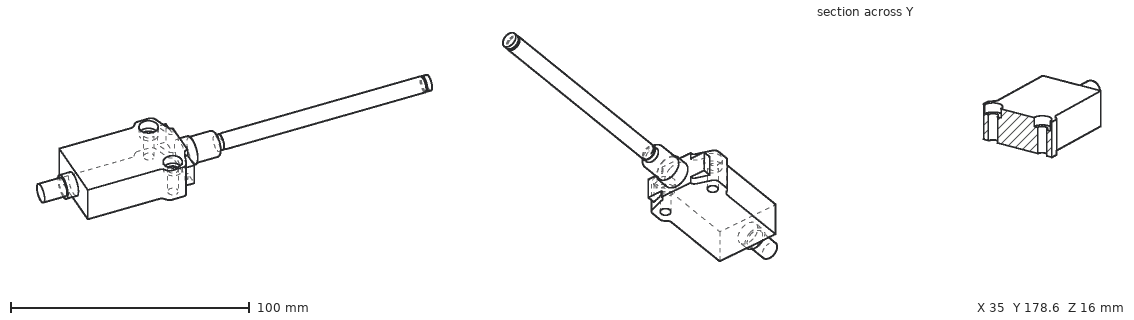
import cadquery as cq
import math


OVERALL_LENGTH = 178.6

HOUSING_WIDTH = 29.6
HOUSING_LENGTH = 49.0
HOUSING_HEIGHT = 16.0
TAB_HEIGHT = 9.8

EAR_SPAN = 35.0
EAR_ROUND = 2.1
EAR_BACK_SETBACK = 4.8
EAR_FRONT_SETBACK = 12.7
EAR_FRONT_TAPER = 2.3
NECK_HALF_WIDTH = 7.7
NECK_SETBACK = 1.5
NECK_ROUND = 1.8
MOUNT_X = 12.5
MOUNT_SETBACK = 9.0
MOUNT_HOLE_DIAMETER = 4.5
COUNTERBORE_DIAMETER = 8.0
COUNTERBORE_DEPTH = 4.1

COLLAR_RADIUS = 10.5 / 2
COLLAR_LENGTH = 4.8
COLLAR_WAIST = 0.09
PLUNGER_RADIUS = 4.1
PLUNGER_REACH = 15.0

GLAND_BASE_RADIUS = 6.3
GLAND_BASE_LENGTH = 5.5
GLAND_BASE_ROUND = 0.4
SLEEVE_RADIUS = 5.7
SLEEVE_LENGTH = 11.0
SLEEVE_ROUND = 1.3
CORE_RADIUS = 7.0 / 2
JACKET_RADIUS = 3.5
NECK_LENGTH = 2.1
GROOVE_DEPTH = 0.4
GLAND_GROOVE_WIDTH = 1.5
CAP_GROOVE_WIDTH = 0.5
CAP_LENGTH = 2.7
DOME_HEIGHT = 0.5


def make_housing():
    back = HOUSING_LENGTH
    half_width = HOUSING_WIDTH / 2
    half_span = EAR_SPAN / 2
    ear_back = back - EAR_BACK_SETBACK
    ear_front = back - EAR_FRONT_SETBACK
    ear_root = ear_front - EAR_FRONT_TAPER
    neck_corner = back - NECK_SETBACK

    right_side = [
        (half_width, 0),
        (half_width, ear_root),
        (half_span, ear_front),
        (half_span, ear_back),
        (NECK_HALF_WIDTH, neck_corner),
        (NECK_HALF_WIDTH, back),
    ]
    left_side = [(-x, y) for x, y in reversed(right_side)]
    body = (
        cq.Workplane("XY")
        .polyline(right_side + left_side)
        .close()
        .extrude(HOUSING_HEIGHT / 2, both=True)
    )

    ear_corners = [(half_width, ear_root), (half_span, ear_front), (half_span, ear_back)]
    body = round_corners(body, ear_corners, EAR_ROUND)
    body = round_corners(body, [(NECK_HALF_WIDTH, neck_corner)], NECK_ROUND)

    tab_length = back - ear_root
    tab = cq.Workplane("XY").box(HOUSING_WIDTH, tab_length, TAB_HEIGHT)
    body = body.union(tab.translate((0, back - tab_length / 2, 0)))

    mount_y = back - MOUNT_SETBACK
    return (
        body.faces(">Z")
        .workplane(origin=(0, 0, HOUSING_HEIGHT / 2))
        .pushPoints([(-MOUNT_X, mount_y), (MOUNT_X, mount_y)])
        .cboreHole(MOUNT_HOLE_DIAMETER, COUNTERBORE_DIAMETER, COUNTERBORE_DEPTH)
    )


def round_corners(body, corners, radius):
    """Fillet the upright edges at the given corners and at their mirror images in X."""
    reach = radius / 10
    for x, y in corners:
        for side in (-1, 1):
            low = (side * x - reach, y - reach, -HOUSING_HEIGHT)
            high = (side * x + reach, y + reach, HOUSING_HEIGHT)
            body = body.edges(cq.selectors.BoxSelector(low, high)).fillet(radius)
    return body


def spin(profile):
    """Revolve a half profile, drawn as (radius, y), about the Y axis."""
    return profile.close().revolve(360, (0, 0, 0), (0, 1, 0))


def make_plunger():
    return spin(
        cq.Workplane("XY")
        .lineTo(COLLAR_RADIUS, 0)
        .threePointArc(
            (COLLAR_RADIUS - COLLAR_WAIST, -COLLAR_LENGTH / 2),
            (COLLAR_RADIUS, -COLLAR_LENGTH),
        )
        .lineTo(PLUNGER_RADIUS, -COLLAR_LENGTH)
        .lineTo(PLUNGER_RADIUS, -PLUNGER_REACH)
        .lineTo(0, -PLUNGER_REACH)
    )


def make_cable():
    base_end = HOUSING_LENGTH + GLAND_BASE_LENGTH
    sleeve_end = base_end + SLEEVE_LENGTH
    gland_groove = sleeve_end + NECK_LENGTH
    jacket_start = gland_groove + GLAND_GROOVE_WIDTH
    tip = OVERALL_LENGTH - PLUNGER_REACH
    cap_start = tip - CAP_LENGTH
    jacket_end = cap_start - CAP_GROOVE_WIDTH
    groove_radius = CORE_RADIUS - GROOVE_DEPTH

    dome_mid_radius = CORE_RADIUS / 2
    dome_sphere_radius = (CORE_RADIUS**2 + DOME_HEIGHT**2) / (2 * DOME_HEIGHT)
    dome_mid_drop = dome_sphere_radius - math.sqrt(dome_sphere_radius**2 - dome_mid_radius**2)

    return spin(
        cq.Workplane("XY")
        .moveTo(0, HOUSING_LENGTH)
        .lineTo(GLAND_BASE_RADIUS, HOUSING_LENGTH)
        .lineTo(GLAND_BASE_RADIUS, base_end - GLAND_BASE_ROUND)
        .radiusArc((GLAND_BASE_RADIUS - GLAND_BASE_ROUND, base_end), -GLAND_BASE_ROUND)
        .lineTo(SLEEVE_RADIUS, base_end)
        .lineTo(SLEEVE_RADIUS, sleeve_end - SLEEVE_ROUND)
        .radiusArc((SLEEVE_RADIUS - SLEEVE_ROUND, sleeve_end), -SLEEVE_ROUND)
        .lineTo(CORE_RADIUS, sleeve_end)
        .lineTo(CORE_RADIUS, gland_groove)
        .lineTo(groove_radius, gland_groove)
        .lineTo(JACKET_RADIUS, jacket_start)
        .lineTo(JACKET_RADIUS, jacket_end)
        .lineTo(groove_radius, jacket_end)
        .lineTo(groove_radius, cap_start)
        .lineTo(CORE_RADIUS, cap_start)
        .lineTo(CORE_RADIUS, tip - DOME_HEIGHT)
        .threePointArc((dome_mid_radius, tip - dome_mid_drop), (0, tip))
    )


housing = make_housing()
plunger = make_plunger()
cable = make_cable()

result = cq.Compound.makeCompound([housing.val(), plunger.val(), cable.val()])